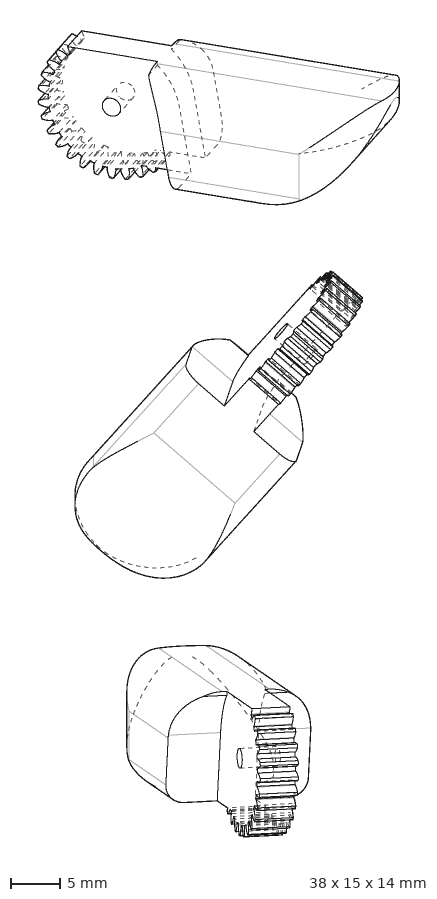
import cadquery as cq
import math

GEAR_MODULE = 0.5
TEETH_PER_TURN = 30
TOOTH_COUNT = 16
FIRST_TOOTH_ANGLE = 126.0
DEDENDUM_FACTOR = 1.25
PRESSURE_ANGLE = math.radians(20)
PITCH_RADIUS = GEAR_MODULE * TEETH_PER_TURN / 2
TIP_RADIUS = PITCH_RADIUS + GEAR_MODULE
ROOT_RADIUS = PITCH_RADIUS - DEDENDUM_FACTOR * GEAR_MODULE
BASE_RADIUS = PITCH_RADIUS * math.cos(PRESSURE_ANGLE)
TOOTH_PITCH_ANGLE = 360 / TEETH_PER_TURN
FLANK_STEPS = 4
ROOT_OVERLAP = 0.2
BLADE_THICKNESS = 4.0
PIN_DIAMETER = 2.0

WIDTH = 15.0
HALF_HEIGHT = 6.0
HEIGHT = 2 * HALF_HEIGHT
TIP_X = 30.0
BODY_START_X = 5.0
PLAN_RADIUS = WIDTH / 2
TOP_FILLET = 5.0
BOTTOM_FILLET = 2.0
NOSE_RADIUS = 15.0
NOSE_START_X = 15.5

RELIEF_RADIUS = 7.5
RELIEF_SLOPE = math.radians(10)


def polar(radius, angle):
    return radius * math.cos(angle), radius * math.sin(angle)


def extrude_across(profile, thickness):
    """Extrude a profile drawn in XZ so that it is centred on the Y = 0 plane."""
    return profile.extrude(thickness).translate((0, thickness / 2, 0))


def involute(angle):
    return math.tan(angle) - angle


def gear_tooth():
    """One involute tooth pointing along +X, sunk slightly into the root disc."""
    half_tooth_angle = math.pi / (2 * TEETH_PER_TURN)
    half_base_angle = half_tooth_angle + involute(PRESSURE_ANGLE)
    flank = []
    for step in range(FLANK_STEPS + 1):
        radius = BASE_RADIUS + (TIP_RADIUS - BASE_RADIUS) * step / FLANK_STEPS
        half_angle = half_base_angle - involute(math.acos(BASE_RADIUS / radius))
        flank.append((radius, half_angle))
    foot_radius = ROOT_RADIUS - ROOT_OVERLAP
    lower = [polar(radius, -angle) for radius, angle in flank]
    upper = [polar(radius, angle) for radius, angle in reversed(flank)]
    profile = (
        cq.Workplane("XZ")
        .moveTo(*polar(foot_radius, -half_base_angle))
        .lineTo(*lower[0])
        .spline(lower[1:], includeCurrent=True)
        .threePointArc((TIP_RADIUS, 0), upper[0])
        .spline(upper[1:], includeCurrent=True)
        .lineTo(*polar(foot_radius, half_base_angle))
        .close()
    )
    return extrude_across(profile, BLADE_THICKNESS)


def gear_blade():
    """Toothed disc joined to a flat web that runs back into the body, level on top."""
    blade = extrude_across(cq.Workplane("XZ").circle(ROOT_RADIUS), BLADE_THICKNESS)
    tooth = gear_tooth()
    for index in range(TOOTH_COUNT):
        angle = FIRST_TOOTH_ANGLE + index * TOOTH_PITCH_ANGLE
        blade = blade.union(tooth.rotate((0, 0, 0), (0, -1, 0), angle))
    above_top = cq.Workplane("XY").box(
        2 * TIP_RADIUS, BLADE_THICKNESS, HALF_HEIGHT, centered=(True, True, False)
    ).translate((0, 0, HALF_HEIGHT))
    web_length = RELIEF_RADIUS + HEIGHT * math.tan(RELIEF_SLOPE)
    web = cq.Workplane("XY").box(web_length, BLADE_THICKNESS, HEIGHT, centered=(False, True, True))
    top_land_length = -HALF_HEIGHT / math.tan(math.radians(FIRST_TOOTH_ANGLE))
    top_land = cq.Workplane("XY").box(
        top_land_length, BLADE_THICKNESS, HALF_HEIGHT, centered=(False, True, False)
    ).translate((-top_land_length, 0, 0))
    return blade.cut(above_top).union(web).union(top_land).clean()


def body_side_prism():
    """Side outline of the body: relieved hinge end, flat bottom and curved nose."""
    step_z = math.sqrt(RELIEF_RADIUS**2 - BODY_START_X**2)
    step_angle = math.atan2(step_z, BODY_START_X)
    slope_start = polar(RELIEF_RADIUS, RELIEF_SLOPE)
    slope_end_x = slope_start[0] + (slope_start[1] + HALF_HEIGHT) * math.tan(RELIEF_SLOPE)
    nose_center_z = NOSE_RADIUS - HALF_HEIGHT
    nose_end_angle = -math.acos((TIP_X - NOSE_START_X) / NOSE_RADIUS)
    nose_mid_angle = (nose_end_angle - math.pi / 2) / 2

    def on_nose(angle):
        x, z = polar(NOSE_RADIUS, angle)
        return NOSE_START_X + x, nose_center_z + z

    profile = (
        cq.Workplane("XZ")
        .moveTo(BODY_START_X, HALF_HEIGHT)
        .lineTo(BODY_START_X, step_z)
        .threePointArc(polar(RELIEF_RADIUS, (step_angle + RELIEF_SLOPE) / 2), slope_start)
        .lineTo(slope_end_x, -HALF_HEIGHT)
        .lineTo(NOSE_START_X, -HALF_HEIGHT)
        .threePointArc(on_nose(nose_mid_angle), on_nose(nose_end_angle))
        .lineTo(TIP_X, HALF_HEIGHT)
        .close()
    )
    return extrude_across(profile, WIDTH)


def body():
    """Bar with rounded long edges and a full-round plan end, trimmed to the side outline."""
    bar = cq.Workplane("XY").box(TIP_X, WIDTH, HEIGHT, centered=(False, True, True))
    bar = bar.edges("|X and >Z").fillet(TOP_FILLET)
    bar = bar.edges("|X and <Z").fillet(BOTTOM_FILLET)
    plan = (
        cq.Workplane("XY")
        .workplane(offset=-HALF_HEIGHT)
        .moveTo(0, -PLAN_RADIUS)
        .lineTo(TIP_X - PLAN_RADIUS, -PLAN_RADIUS)
        .threePointArc((TIP_X, 0), (TIP_X - PLAN_RADIUS, PLAN_RADIUS))
        .lineTo(0, PLAN_RADIUS)
        .close()
        .extrude(HEIGHT)
    )
    return bar.intersect(plan).intersect(body_side_prism())


pin_hole = extrude_across(cq.Workplane("XZ").circle(PIN_DIAMETER / 2), BLADE_THICKNESS)
result = body().union(gear_blade()).cut(pin_hole)